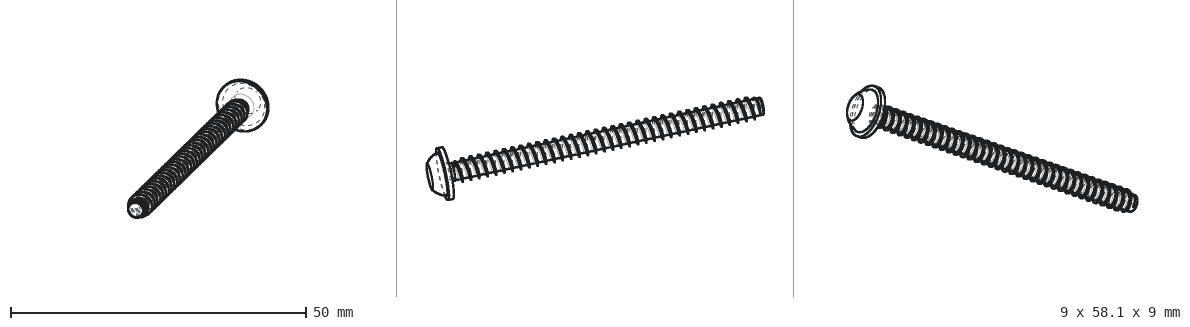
import cadquery as cq
import math


total_length = 58.1
head_height = 3.1
flange_radius = 9.0 / 2
flange_thickness = 0.9
dome_top_radius = 2.3
dome_base_radius = 3.8
dome_arc_radius = 4.05
dome_fillet = 0.1

shank_length = total_length - head_height
core_radius = 2.95 / 2
neck_radius = 3.1 / 2
neck_length = 1.0
neck_fillet = 0.65
tip_chamfer = 0.2

thread_radius = 4.0 / 2
threaded_span = 51.05
turns_in_span = 35
pitch = threaded_span / turns_in_span
first_crest = 1.4
crest_width = 0.05
flare_height = 0.1
flare_reach = 0.5
flank_half_angle = 15.0
root_overlap = 0.03
run_in_start = 1.05
run_in_end = 2.4
run_out_start = 52.95
run_out_end = 54.6
cutter_margin = 0.1
cutter_radius = 2.6


def make_head():
    """Flange with a truncated dome blended onto it."""
    flange_top = -flange_thickness
    dome_base = flange_top - dome_fillet
    return (
        cq.Workplane("XZ")
        .moveTo(0, -head_height)
        .lineTo(dome_top_radius, -head_height)
        .radiusArc((dome_base_radius, dome_base), -dome_arc_radius)
        .radiusArc((dome_base_radius + dome_fillet, flange_top), dome_fillet)
        .lineTo(flange_radius, flange_top)
        .lineTo(flange_radius, 0)
        .lineTo(0, 0)
        .close()
        .revolve(360, (0, 0), (0, 1))
    )


def make_shank():
    """Plain core with a filleted neck under the flange and a chamfered tip."""
    return (
        cq.Workplane("XZ")
        .moveTo(0, -flange_thickness / 2)
        .lineTo(neck_radius + neck_fillet, -flange_thickness / 2)
        .lineTo(neck_radius + neck_fillet, 0)
        .radiusArc((neck_radius, neck_fillet), neck_fillet)
        .lineTo(neck_radius, neck_length)
        .lineTo(core_radius, neck_length)
        .lineTo(core_radius, shank_length - tip_chamfer)
        .lineTo(core_radius - tip_chamfer, shank_length)
        .lineTo(0, shank_length)
        .close()
        .revolve(360, (0, 0), (0, 1))
    )


def make_thread():
    """Helical ridge, tapered into the core at both ends."""
    root_radius = core_radius - root_overlap
    crest_half = crest_width / 2
    flank_slope = math.tan(math.radians(flank_half_angle))
    root_half = crest_half + (thread_radius - root_radius) * flank_slope
    flare_radius = core_radius + flare_height
    flare_top = crest_half + (thread_radius - flare_radius) * flank_slope
    flare_foot = flare_reach + root_overlap * (flare_reach - flare_top) / flare_height
    start = first_crest - pitch
    turns = math.ceil((shank_length - start) / pitch)

    helix = cq.Wire.makeHelix(pitch, turns * pitch, root_radius, cq.Vector(0, 0, start))
    ridge = (
        cq.Workplane("XZ")
        .polyline([
            (root_radius, start - flare_foot),
            (flare_radius, start - flare_top),
            (thread_radius, start - crest_half),
            (thread_radius, start + crest_half),
            (root_radius, start + root_half),
        ])
        .close()
        .sweep(cq.Workplane(helix), isFrenet=True)
    )
    run_in = make_taper_cutter(run_in_start, run_in_end, -pitch)
    run_out = make_taper_cutter(run_out_end, run_out_start, shank_length + pitch)
    return ridge.cut(run_in).cut(run_out)


def make_taper_cutter(buried_end, full_end, outer_end):
    """Block ending in a conical hollow: it leaves nothing of the ridge above the
    core at buried_end and the whole ridge at full_end."""
    return (
        cq.Workplane("XZ")
        .polyline([
            (0, buried_end),
            (core_radius - cutter_margin, buried_end),
            (thread_radius + cutter_margin, full_end),
            (cutter_radius, full_end),
            (cutter_radius, outer_end),
            (0, outer_end),
        ])
        .close()
        .revolve(360, (0, 0), (0, 1))
    )


screw = make_head().union(make_shank()).union(make_thread())
result = screw.rotate((0, 0, 0), (1, 0, 0), 90)